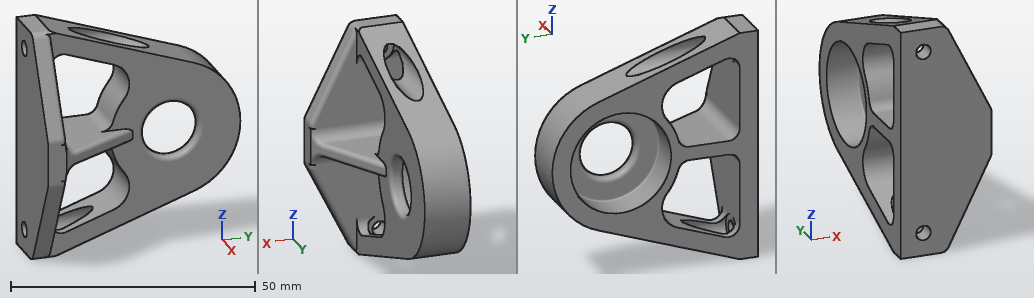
import cadquery as cq
import math

height = 50.0
half_height = height / 2
plate_thickness = 10.0
total_depth = 20.0
base_thickness = 4.0

eye_y = 30.0
eye_radius = 15.0
seat_radius = 11.0
seat_depth = 7.0
seat_fillet = 0.4
bore_radius = 6.0
bore_fillet = 1.0

rim = 4.0
ring_radius = 13.0
web_half_thickness = 1.5
window_fillet = 2.5
window_ring_fillet = 5.0

base_tip_half_height = 5.0
base_corner_fillet = 2.0
rib_top_y = 21.75
edge_fillet = 1.0

screw_x = plate_thickness / 2
screw_z = 20.0
screw_radius = 1.6
head_radius = 3.0
head_floor_y = base_thickness

margin = 0.05

flank_dy = eye_y - base_thickness
flank_length = math.hypot(flank_dy, half_height)
flank_angle = math.atan2(half_height, flank_dy) - math.asin(eye_radius / flank_length)
flank_slope = math.tan(flank_angle)


def eye_point(radius):
    """Point at this radius from the eye axis, square to the upper flank."""
    return eye_y + radius * math.sin(flank_angle), radius * math.cos(flank_angle)


def make_plate():
    tangent_y, tangent_z = eye_point(eye_radius)
    return (
        cq.Workplane("YZ")
        .moveTo(0, -half_height)
        .lineTo(base_thickness, -half_height)
        .lineTo(tangent_y, -tangent_z)
        .threePointArc((eye_y + eye_radius, 0), (tangent_y, tangent_z))
        .lineTo(base_thickness, half_height)
        .lineTo(0, half_height)
        .close()
        .extrude(plate_thickness)
    )


def make_base_prism(depth):
    """Tapered base outline with rounded corners, extruded along +Y from the mounting face."""
    outline = [
        (0, -half_height),
        (plate_thickness, -half_height),
        (total_depth, -base_tip_half_height),
        (total_depth, base_tip_half_height),
        (plate_thickness, half_height),
        (0, half_height),
    ]
    prism = cq.Workplane("XZ").polyline(outline).close().extrude(-depth)
    return prism.edges("|Y and (not <X)").fillet(base_corner_fillet)


def make_window():
    """Upper window: bounded by the base, the web, the flank rim and the ring around the eye."""
    rim_y, rim_z = eye_point(eye_radius - rim)
    rim_z_at_base = rim_z + (rim_y - base_thickness) * flank_slope
    block = (
        cq.Workplane("YZ")
        .polyline([
            (base_thickness, web_half_thickness),
            (eye_y, web_half_thickness),
            (rim_y, rim_z),
            (base_thickness, rim_z_at_base),
        ])
        .close()
        .extrude(total_depth)
    )
    ring = cq.Workplane("YZ").center(eye_y, 0).circle(ring_radius).extrude(total_depth)
    window = block.cut(ring)
    window = window.edges("|X").edges(">Y").fillet(window_ring_fillet)
    corners = cq.selectors.BoxSelector(
        (0, 0, 0), (total_depth, eye_y, web_half_thickness + margin)
    )
    window = window.edges("|X").edges(corners).fillet(window_fillet)
    return window.edges("|X").edges(">Z").fillet(window_fillet)


def make_rib():
    """Triangular rib in line with the web, flaring into the base like the window corners."""
    flare_half_width = web_half_thickness + window_fillet
    flare_top_y = base_thickness + window_fillet
    bend = window_fillet * (1 - math.sqrt(0.5))
    section = (
        cq.Workplane("YZ")
        .moveTo(0, -flare_half_width)
        .lineTo(base_thickness, -flare_half_width)
        .threePointArc(
            (base_thickness + bend, -web_half_thickness - bend),
            (flare_top_y, -web_half_thickness),
        )
        .lineTo(rib_top_y, -web_half_thickness)
        .lineTo(rib_top_y, web_half_thickness)
        .lineTo(flare_top_y, web_half_thickness)
        .threePointArc(
            (base_thickness + bend, web_half_thickness + bend),
            (base_thickness, flare_half_width),
        )
        .lineTo(0, flare_half_width)
        .close()
        .extrude(total_depth)
    )
    triangle = (
        cq.Workplane("XY")
        .lineTo(total_depth, 0)
        .lineTo(total_depth, base_thickness)
        .lineTo(plate_thickness, rib_top_y)
        .lineTo(0, rib_top_y)
        .close()
        .extrude(half_height, both=True)
    )
    return section.intersect(triangle)


def make_brace():
    """Base and rib, each with its free rear edges rounded."""
    base = make_base_prism(base_thickness)
    base = base.faces(">Y").edges("not <X").fillet(edge_fillet)
    sloped_sides = cq.selectors.BoxSelector(
        (plate_thickness + margin, base_thickness + margin, -half_height),
        (total_depth, rib_top_y, half_height),
    )
    rib = make_rib()
    rib = rib.edges(sloped_sides).edges("not |Z").edges("not |X").fillet(edge_fillet)
    return base.union(rib)


def make_eye_cutter():
    """Bearing seat, opening on the x = 0 face, and the bore through its floor, rounded on both rims."""
    seat = cq.Workplane("YZ").center(eye_y, 0).circle(seat_radius).extrude(seat_depth)
    seat = seat.faces(">X").edges().fillet(seat_fillet)
    mouth_radius = bore_radius + bore_fillet
    bend = bore_fillet * (1 - math.sqrt(0.5))
    bore = (
        cq.Workplane("XY")
        .moveTo(seat_depth, eye_y)
        .lineTo(seat_depth, eye_y + mouth_radius)
        .threePointArc(
            (seat_depth + bend, eye_y + bore_radius + bend),
            (seat_depth + bore_fillet, eye_y + bore_radius),
        )
        .lineTo(plate_thickness - bore_fillet, eye_y + bore_radius)
        .threePointArc(
            (plate_thickness - bend, eye_y + bore_radius + bend),
            (plate_thickness, eye_y + mouth_radius),
        )
        .lineTo(plate_thickness, eye_y)
        .close()
        .revolve(360, (0, eye_y, 0), (1, eye_y, 0))
    )
    return seat.union(bore)


def make_screw_hole(z):
    axis = (screw_x, 0, z)
    hole = cq.Workplane("XZ", origin=axis).circle(screw_radius).extrude(-eye_y)
    head = cq.Workplane("XZ", origin=(screw_x, head_floor_y, z)).circle(head_radius).extrude(-eye_y)
    return hole.union(head)


upper_window = make_window()
windows = upper_window.union(upper_window.mirror("XY"))

plate = make_plate().intersect(make_base_prism(eye_y + eye_radius)).cut(windows)
result = plate.union(make_brace()).cut(make_eye_cutter())
for side in (-1, 1):
    result = result.cut(make_screw_hole(side * screw_z))